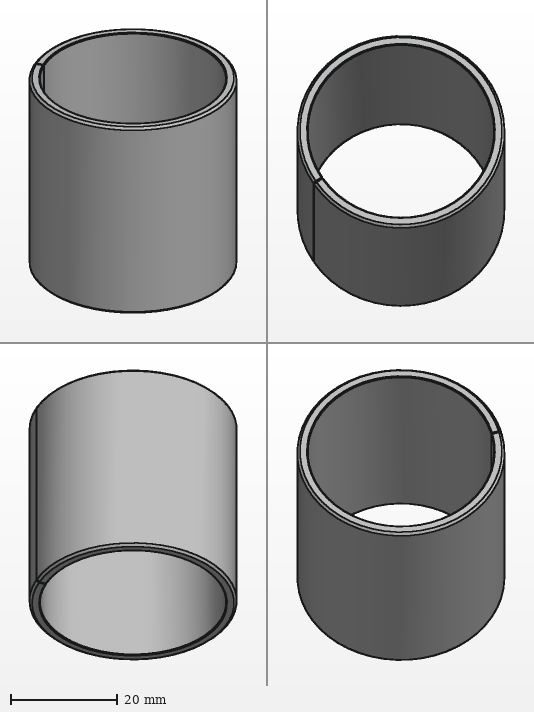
import cadquery as cq

outer_diameter = 39.0
bore_diameter = 35.0
length = 40.0
outer_chamfer = 0.5
bore_chamfer = 0.2
seam_angle = 1.0

outer_radius = outer_diameter / 2
bore_radius = bore_diameter / 2


def make_wall_section():
    """Wall section on the -X side, with all four corners chamfered."""
    section = [
        (-bore_radius - bore_chamfer, 0),
        (-outer_radius + outer_chamfer, 0),
        (-outer_radius, outer_chamfer),
        (-outer_radius, length - outer_chamfer),
        (-outer_radius + outer_chamfer, length),
        (-bore_radius - bore_chamfer, length),
        (-bore_radius, length - bore_chamfer),
        (-bore_radius, bore_chamfer),
    ]
    return cq.Workplane("XZ").polyline(section).close()


def make_split_sleeve():
    """Sweep the section counterclockwise from -X, stopping short by the seam."""
    axis_start = (0, 0)
    axis_end = (0, 1)
    return make_wall_section().revolve(360 - seam_angle, axis_start, axis_end)


result = make_split_sleeve()